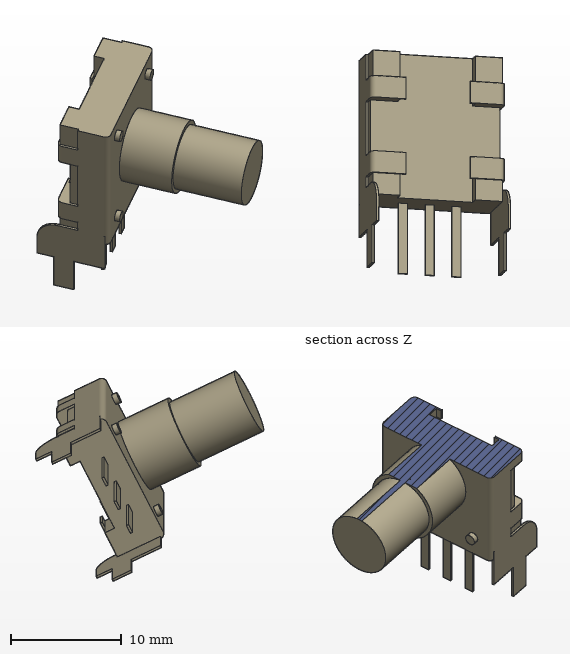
import cadquery as cq


top_z = 6.4
bottom_z = -13.5
housing_bottom_z = -6.96

sheet = 0.22
cover_half_width = 6.25
cover_depth = 3.0
bend_radius = 0.5

housing_half_width = cover_half_width - sheet
clip_back_x = -5.0
housing_back_x = clip_back_x + sheet
recess_floor_x = -3.8
recess_half_width = 3.5

upper_clip_z = (1.99, 4.0)
lower_clip_z = (-5.0, -3.0)
clip_tip_y = 3.0

bushing_diameter = 6.8
bushing_length = 5.0
shaft_diameter = 6.0
shaft_end_x = 11.5
boss_diameter = 1.0
boss_length = 0.5
boss_y = 4.25
boss_z = 5.0

ear_back_x = -6.9
ear_front_x = -0.42
ear_top_z = -5.99
ear_bottom_z = -9.99
ear_corner_radius = 2.0
leg_back_x = -5.3
leg_front_x = -3.38

terminal_width = 0.84
terminal_pitch = 2.49
terminal_back_x = -1.9
terminal_front_x = terminal_back_x + sheet


def block(x_range, y_range, z_range):
    """Box that spans the given (low, high) ranges."""
    spans = (x_range, y_range, z_range)
    sizes = [high - low for low, high in spans]
    return cq.Workplane("XY").box(*sizes, centered=False).translate(tuple(low for low, _ in spans))


def rod(diameter, end_x, y=0, z=0):
    """Cylinder along X that starts inside the cover plate and ends at end_x."""
    return cq.Workplane("YZ", origin=(-sheet, y, z)).circle(diameter / 2).extrude(end_x + sheet)


def symmetric(half_width):
    return (-half_width, half_width)


def make_housing():
    housing = block((housing_back_x, -sheet), symmetric(housing_half_width), (housing_bottom_z, top_z))
    recess_x = (housing_back_x, recess_floor_x)
    upright = block(recess_x, symmetric(recess_half_width), (housing_bottom_z, top_z))
    crossbar = block(recess_x, symmetric(housing_half_width), (lower_clip_z[1], upper_clip_z[0]))
    return housing.cut(upright).cut(crossbar)


def make_cover():
    """Channel-shaped sheet with rounded front edges."""
    outer = block((-cover_depth, 0), symmetric(cover_half_width), (housing_bottom_z, top_z))
    outer = outer.edges(">X and |Z").fillet(bend_radius)
    inner = block((-cover_depth, -sheet), symmetric(housing_half_width), (housing_bottom_z, top_z))
    return outer.cut(inner.edges(">X and |Z").fillet(bend_radius - sheet))


def make_clip(z_range):
    """Clip on the +Y side: an arm along the housing, bent inward over its back."""
    outer = block((clip_back_x, -cover_depth), (clip_tip_y, cover_half_width), z_range)
    outer = outer.edges("<X and >Y and |Z").fillet(bend_radius)
    inner = block((housing_back_x, -cover_depth), (clip_tip_y, housing_half_width), z_range)
    return outer.cut(inner.edges("<X and >Y and |Z").fillet(bend_radius - sheet))


def make_ear():
    """Mounting ear on the +Y side with its solder leg."""
    side_y = (housing_half_width, cover_half_width)
    plate = block((ear_back_x, ear_front_x), side_y, (ear_bottom_z, ear_top_z))
    plate = plate.edges("<X and >Z and |Y").fillet(ear_corner_radius)
    leg = block((leg_back_x, leg_front_x), side_y, (bottom_z, ear_bottom_z))
    return plate.union(leg)


def make_terminal(y):
    half = terminal_width / 2
    x_range = (terminal_back_x, terminal_front_x)
    return block(x_range, (y - half, y + half), (bottom_z, housing_bottom_z))


result = make_housing().union(make_cover())

for side_part in (make_clip(upper_clip_z), make_clip(lower_clip_z), make_ear()):
    result = result.union(side_part).union(side_part.mirror("XZ"))

for y in (-terminal_pitch, 0, terminal_pitch):
    result = result.union(make_terminal(y))

result = result.union(rod(bushing_diameter, bushing_length))
result = result.union(rod(shaft_diameter, shaft_end_x))
for y in (-boss_y, boss_y):
    for z in (-boss_z, boss_z):
        result = result.union(rod(boss_diameter, boss_length, y, z))